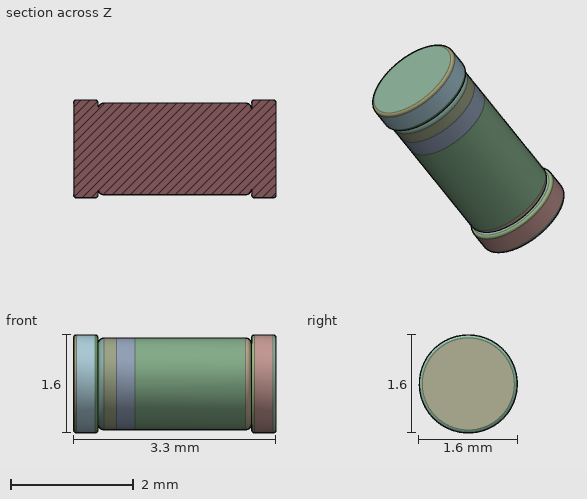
import cadquery as cq
import math

total_length = 3.3
cap_diameter = 1.6
cap_length = 0.4
cap_edge_radius = 0.05
body_diameter = 1.5
body_edge_radius = 0.1

band_offset = 0.3
band_width = 0.3

cap_radius = cap_diameter / 2
body_radius = body_diameter / 2
half_length = total_length / 2
body_half_length = half_length - cap_length
band_start = -body_half_length + band_offset
band_end = band_start + band_width


def rounded_disc_outline(profile, start, end, radius, edge_radius, face_breaks=()):
    """Trace one disc from its -X face to its +X face, rounding both rims.

    The straight side is divided at each X position in face_breaks.
    """
    mid_inset = edge_radius * (1 - math.sqrt(0.5))
    side_start = start + edge_radius
    side_end = end - edge_radius
    face_radius = radius - edge_radius

    profile = profile.lineTo(start, face_radius)
    profile = profile.threePointArc((start + mid_inset, radius - mid_inset), (side_start, radius))
    for x in (*face_breaks, side_end):
        profile = profile.lineTo(x, radius)
    return profile.threePointArc((end - mid_inset, radius - mid_inset), (end, face_radius))


def half_section():
    """Closed outline above the axis: cap, banded body, cap."""
    profile = cq.Workplane("XZ").moveTo(-half_length, 0)
    profile = rounded_disc_outline(
        profile, -half_length, -body_half_length, cap_radius, cap_edge_radius
    )
    profile = rounded_disc_outline(
        profile,
        -body_half_length,
        body_half_length,
        body_radius,
        body_edge_radius,
        face_breaks=(band_start, band_end),
    )
    profile = rounded_disc_outline(
        profile, body_half_length, half_length, cap_radius, cap_edge_radius
    )
    return profile.lineTo(half_length, 0).close()


result = half_section().revolve(360, (0, 0, 0), (1, 0, 0), clean=False)